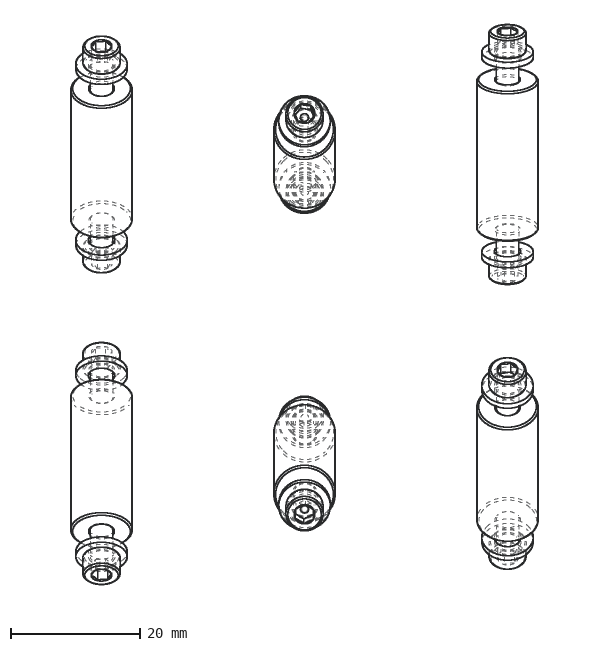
import cadquery as cq
import math

total_length = 41.8
body_diameter = 9.55
body_length = 25.4
body_chamfer = 0.3

shank_diameter = 3.5
head_diameter = 5.75
head_height = 3.45
head_top_chamfer = 0.3
head_seat_chamfer = 0.2

washer_diameter = 8.0
washer_thickness = 1.0
washer_hole_diameter = 4.1

socket_across_corners = 3.2
socket_across_flats = socket_across_corners * 3 ** 0.5 / 2
socket_depth = 2.1
socket_rim_diameter = socket_across_corners
drill_mouth_diameter = 1.25
drill_point_diameter = 0.9
drill_point_angle = 118
drill_mouth_depth = (drill_mouth_diameter - drill_point_diameter) / 2
drill_point_depth = drill_point_diameter / 2 / math.tan(math.radians(drill_point_angle / 2))

countersink_diameter = 4.0
countersink_depth = (countersink_diameter - shank_diameter) / 2

half_length = total_length / 2
half_body = body_length / 2
head_seat = half_length - head_height
washer_bottom = head_seat - washer_thickness
socket_floor = half_length - socket_depth


def cylinder(diameter, bottom, height):
    """Upright cylinder on the Z axis."""
    return cq.Workplane("XY").workplane(offset=bottom).circle(diameter / 2).extrude(height)


def cone_down(diameter, top, depth, tip_diameter=0.0):
    """Cone or frustum on the Z axis, narrowing downward from its top face."""
    cone = cq.Solid.makeCone(
        diameter / 2, tip_diameter / 2, depth, pnt=cq.Vector(0, 0, top), dir=cq.Vector(0, 0, -1)
    )
    return cq.Workplane(obj=cone)


def make_body():
    """Standoff with chamfered end rims and a countersunk mouth at each end."""
    body = cylinder(body_diameter, -half_body, body_length)
    body = body.faces("<Z or >Z").edges().chamfer(body_chamfer)
    countersink = cone_down(countersink_diameter, half_body, countersink_depth, shank_diameter)
    return body.cut(countersink).cut(countersink.mirror("XY"))


def make_socket():
    """Tool shape for the hexagonal recess, with corners on the Y axis."""
    hexagon = (
        cq.Workplane("XY")
        .workplane(offset=socket_floor)
        .transformed(rotate=(0, 0, 90))
        .polygon(6, socket_across_corners)
        .extrude(socket_depth)
    )
    rim_depth = (socket_rim_diameter - socket_across_flats) / 2
    rim = cone_down(socket_rim_diameter, half_length, rim_depth, socket_across_flats)
    drill_mouth = cone_down(drill_mouth_diameter, socket_floor, drill_mouth_depth, drill_point_diameter)
    drill_point = cone_down(drill_point_diameter, socket_floor - drill_mouth_depth, drill_point_depth)
    return hexagon.union(rim).union(drill_mouth).union(drill_point)


def make_screw_and_washer():
    """Upper cap screw with its washer, the shank reaching the body's middle."""
    head = cylinder(head_diameter, head_seat, head_height)
    head = head.faces(">Z").edges().chamfer(head_top_chamfer)
    head = head.faces("<Z").edges().chamfer(head_seat_chamfer)
    washer = cylinder(washer_diameter, washer_bottom, washer_thickness)
    washer = washer.cut(cylinder(washer_hole_diameter, washer_bottom, washer_thickness))
    shank = cylinder(shank_diameter, 0, head_seat)
    return shank.union(washer).union(head).cut(make_socket())


upper_screw = make_screw_and_washer()
lower_screw = upper_screw.mirror("XY")
result = make_body().union(upper_screw).union(lower_screw)